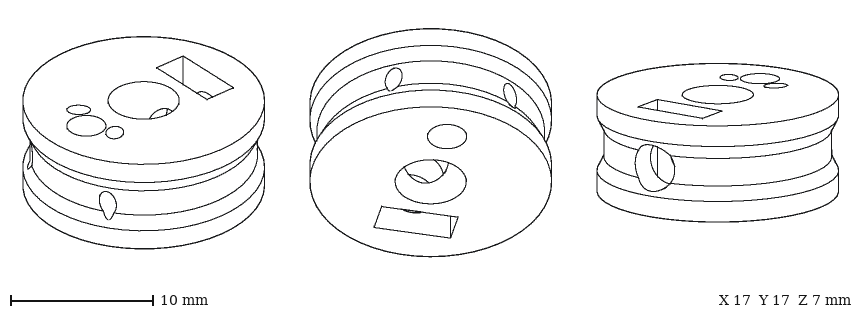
import cadquery as cq

outer_diameter = 17.0
height = 7.0
groove_diameter = 16.01
groove_floor_width = 2.0
groove_mouth_width = 4.0

bore_diameter = 5.0
pin_hole_diameter = 2.75
pin_hole_y = -5.25
nut_slot_length = 5.5
nut_slot_width = 2.43
nut_slot_y = 4.71

screw_diameter = 3.37

cord_diameter = 1.24
cord_top_x = 1.97
cord_top_y = -4.3
cord_exit_x = 4.2
cord_exit_y = -6.8
cord_exit_z = 3.25
cord_overrun = 3.4

outer_radius = outer_diameter / 2
groove_radius = groove_diameter / 2
middle_z = height / 2


def wheel_body():
    floor_half = groove_floor_width / 2
    mouth_half = groove_mouth_width / 2
    profile = [
        (0, 0),
        (outer_radius, 0),
        (outer_radius, middle_z - mouth_half),
        (groove_radius, middle_z - floor_half),
        (groove_radius, middle_z + floor_half),
        (outer_radius, middle_z + mouth_half),
        (outer_radius, height),
        (0, height),
    ]
    return cq.Workplane("XZ").polyline(profile).close().revolve(360, (0, 0), (0, 1))


def vertical_openings():
    base = cq.Workplane("XY")
    bore = base.circle(bore_diameter / 2).extrude(height)
    pin_hole = base.center(0, pin_hole_y).circle(pin_hole_diameter / 2).extrude(height)
    nut_slot = base.center(0, nut_slot_y).rect(nut_slot_length, nut_slot_width).extrude(height)
    return bore.union(pin_hole).union(nut_slot)


def screw_hole():
    return cq.Workplane("XZ").center(0, middle_z).circle(screw_diameter / 2).extrude(-outer_radius)


def cord_hole(side):
    top = cq.Vector(side * cord_top_x, cord_top_y, height)
    end = cq.Vector(side * cord_exit_x, cord_exit_y, cord_exit_z)
    axis = end - top
    start = top - axis.normalized() * cord_overrun
    length = axis.Length + 2 * cord_overrun
    return cq.Solid.makeCylinder(cord_diameter / 2, length, start, axis)


result = wheel_body().cut(vertical_openings()).cut(screw_hole())
for side in (-1, 1):
    result = result.cut(cord_hole(side))